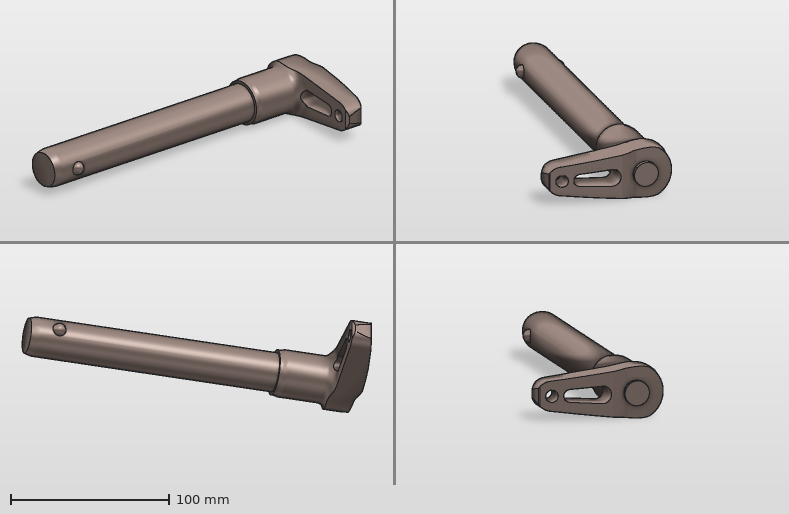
import cadquery as cq
import math

length = 216.8

pin_radius = 12.5
tip_length = 5.5
tip_radius = 11.3
tip_bulge_radius = 12.1
ball_radius = 4.3
ball_reach = 16.0
ball_y = 18.0

sleeve_radius = 15.2
collar_radius = 14.5
collar_y = 162.4
collar_length = 2.2
collar_taper_length = 2.4
flare_radius = 5.9
flare_start_y = 192.7

button_radius = 8.0
button_neck_radius = 7.0
button_rim_length = 2.4
button_round_bulge = 0.2

head_radius = 16.7
head_center_x = -3.5
flat_end_x = -2.0
flank_start_x = 2.0
flank_angle = math.radians(7.2)
end_radius = 9.8
end_center_x = 54.5
hole_radius = 4.0
slot_start_x, slot_start_radius = 22.3, 5.6
slot_end_x, slot_end_radius = 43.0, 4.1

head_top_y = 213.3
head_bottom_y = flare_start_y + flare_radius
underside_start_x, underside_end_y = 18.5, 196.5
rise_start_x = 5.5
rise_x, rise_y = 10.8, 214.8
hump_x, hump_y = 15.6, 216.0
hump_slope = 0.2
back_mid_x, back_mid_y = 38.5, 213.5
back_end_inset, back_end_rise = 0.7, 0.5
handle_end_x = 64.0
head_back_x = -20.0
head_lean = 1.7
end_lean = 1.3
end_top_y = 208.5
underside_rise, underside_chamfer = 1.5, 2.4


def along_y(sketch, start_y, end_y):
    """Extrude an XZ sketch between two heights on the pin axis."""
    return sketch.extrude(-(end_y - start_y)).translate((0, start_y, 0))


def revolve_about_pin(outline):
    return outline.close().revolve(360, (0, 0, 0), (0, 1, 0))


def make_shaft():
    collar_top_y = collar_y + collar_length
    flare_mid = flare_radius * math.sqrt(0.5)
    flare_x = sleeve_radius + flare_radius
    outline = (
        cq.Workplane("XY")
        .lineTo(tip_radius, 0)
        .threePointArc((tip_bulge_radius, tip_length / 2), (pin_radius, tip_length))
        .lineTo(pin_radius, collar_y)
        .lineTo(collar_radius, collar_y)
        .lineTo(collar_radius, collar_top_y)
        .lineTo(sleeve_radius, collar_top_y + collar_taper_length)
        .lineTo(sleeve_radius, flare_start_y)
        .threePointArc((flare_x - flare_mid, flare_start_y + flare_mid), (flare_x, head_bottom_y))
        .lineTo(0, head_bottom_y)
    )
    return revolve_about_pin(outline)


def make_button():
    round_x = (button_neck_radius + button_radius) / 2 + button_round_bulge
    round_y = (head_top_y + length - button_rim_length) / 2 - button_round_bulge
    outline = (
        cq.Workplane("XY")
        .moveTo(0, head_bottom_y)
        .lineTo(button_neck_radius, head_bottom_y)
        .lineTo(button_neck_radius, head_top_y)
        .threePointArc((round_x, round_y), (button_radius, length - button_rim_length))
        .lineTo(button_radius, length)
        .lineTo(0, length)
    )
    return revolve_about_pin(outline)


def make_plan():
    """Teardrop outline of the handle, filling the whole depth of flare and head."""
    flank_end_x = end_center_x + end_radius * math.sin(flank_angle)
    flank_end_z = end_radius * math.cos(flank_angle)
    flank_start_z = flank_end_z + (flank_end_x - flank_start_x) * math.tan(flank_angle)
    bend_x = (flat_end_x + flank_start_x) / 2
    bend_z = head_radius - (head_radius - flank_start_z) / 4
    sketch = (
        cq.Workplane("XZ")
        .moveTo(head_center_x, head_radius)
        .lineTo(flat_end_x, head_radius)
        .threePointArc((bend_x, bend_z), (flank_start_x, flank_start_z))
        .lineTo(flank_end_x, flank_end_z)
        .threePointArc((end_center_x + end_radius, 0), (flank_end_x, -flank_end_z))
        .lineTo(flank_start_x, -flank_start_z)
        .threePointArc((bend_x, -bend_z), (flat_end_x, -head_radius))
        .lineTo(head_center_x, -head_radius)
        .threePointArc((head_center_x - head_radius, 0), (head_center_x, head_radius))
        .close()
    )
    return along_y(sketch, flare_start_y, length)


def make_side_profile():
    """Side shape of the handle: flat head, humped back, leaning end."""
    end_top_x = handle_end_x - end_lean
    sketch = (
        cq.Workplane("XY")
        .moveTo(head_center_x - head_radius, head_bottom_y)
        .lineTo(head_center_x - head_radius, head_top_y)
        .lineTo(rise_start_x, head_top_y)
        .spline(
            [(rise_x, rise_y), (hump_x, hump_y)],
            includeCurrent=True,
            tangents=[(1, 0), (1, hump_slope)],
        )
        .threePointArc((back_mid_x, back_mid_y), (end_top_x - back_end_inset, end_top_y + back_end_rise))
        .lineTo(end_top_x, end_top_y)
        .lineTo(handle_end_x, underside_end_y + underside_rise)
        .lineTo(handle_end_x - underside_chamfer, underside_end_y)
        .lineTo(underside_start_x, head_bottom_y)
        .close()
    )
    return sketch.extrude(head_radius, both=True)


def make_head_limit():
    """Cone that leans the back of the head inward, open toward the handle."""
    back_radius = -head_back_x
    cone = revolve_about_pin(
        cq.Workplane("XY")
        .moveTo(0, flare_start_y)
        .lineTo(back_radius, flare_start_y)
        .lineTo(back_radius, head_bottom_y)
        .lineTo(back_radius - head_lean, head_top_y)
        .lineTo(back_radius - head_lean, length)
        .lineTo(0, length)
    )
    front = cq.Workplane("XY").box(
        2 * handle_end_x, 2 * length, 4 * head_radius, centered=(False, True, True)
    ).translate((flat_end_x, 0, 0))
    return cone.union(front)


def make_openings():
    """Tapered slot and round hole through the handle."""
    slope = math.asin((slot_start_radius - slot_end_radius) / (slot_end_x - slot_start_x))

    def tangent_point(center_x, radius):
        return center_x + radius * math.sin(slope), radius * math.cos(slope)

    start_x, start_z = tangent_point(slot_start_x, slot_start_radius)
    end_x, end_z = tangent_point(slot_end_x, slot_end_radius)
    slot = (
        cq.Workplane("XZ")
        .moveTo(start_x, start_z)
        .lineTo(end_x, end_z)
        .threePointArc((slot_end_x + slot_end_radius, 0), (end_x, -end_z))
        .lineTo(start_x, -start_z)
        .threePointArc((slot_start_x - slot_start_radius, 0), (start_x, start_z))
        .close()
    )
    hole = cq.Workplane("XZ").center(end_center_x, 0).circle(hole_radius)
    return along_y(slot, flare_start_y, length).union(along_y(hole, flare_start_y, length))


def make_balls():
    ball_x = ball_reach - ball_radius
    centers = [(-ball_x, ball_y), (ball_x, ball_y)]
    return cq.Workplane("XY").pushPoints(centers).sphere(ball_radius, direct=(1, 0, 0))


shaft = make_shaft()
plan = make_plan().intersect(make_head_limit())
flare = shaft.intersect(plan)
handle = make_side_profile().intersect(plan).union(flare).cut(make_openings())
sleeve_zone = along_y(cq.Workplane("XZ").circle(sleeve_radius), 0, flare_start_y)
pin_and_sleeve = shaft.intersect(sleeve_zone).union(make_balls())
result = pin_and_sleeve.union(handle).union(make_button())